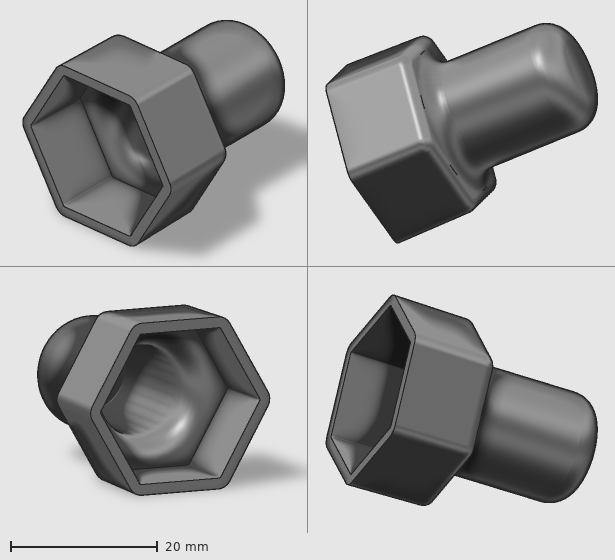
import cadquery as cq
import math


across_flats = 23.85
corner_radius = 2.0
socket_length = 12.5
back_edge_radius = 1.47
wall = 1.5
pocket_depth = 10.0
pocket_corner_radius = 0.4

total_length = 32.0
tube_radius = 7.8
outer_flare_radius = 2.5
tip_radius = 3.5
bore_mouth_radius = tube_radius - wall
inner_flare_radius = 3.5
bore_end_radius = 0.2

draft = 1.0


def hex_prism(flats, length, edge_radius):
    """Drafted hexagonal prism along +Z, with rounded long edges and corners on the X axis."""
    across_corners = flats / math.cos(math.radians(30))
    prism = cq.Workplane("XY").polygon(6, across_corners).extrude(length, taper=draft)
    return prism.edges("not #Z").fillet(edge_radius)


def make_socket():
    """Outer hexagon with its back edge rounded."""
    prism = hex_prism(across_flats, socket_length, corner_radius)
    return prism.faces(">Z").edges().fillet(back_edge_radius)


def make_tube():
    """Tube with a domed-edge tip and a concave flare onto the back of the socket."""
    flare_top = socket_length + outer_flare_radius
    flare_outer = tube_radius + outer_flare_radius
    blend = math.cos(math.pi / 4)
    flare_mid = (
        flare_outer - outer_flare_radius * blend,
        flare_top - outer_flare_radius * blend,
    )
    tip_mid = (
        tube_radius - tip_radius * (1 - blend),
        total_length - tip_radius * (1 - blend),
    )
    return (
        cq.Workplane("XZ")
        .moveTo(0, pocket_depth)
        .lineTo(tube_radius, pocket_depth)
        .lineTo(flare_outer, socket_length)
        .threePointArc(flare_mid, (tube_radius, flare_top))
        .lineTo(tube_radius, total_length - tip_radius)
        .threePointArc(tip_mid, (tube_radius - tip_radius, total_length))
        .lineTo(0, total_length)
        .close()
        .revolve(360, (0, 0, 0), (0, 1, 0))
    )


def make_bore():
    """Drafted blind bore, flared where it opens into the pocket floor."""
    slope = math.radians(draft)
    bore_end = total_length - wall
    flare_end = pocket_depth + inner_flare_radius

    arc_centre_x = bore_mouth_radius + inner_flare_radius * math.cos(slope)

    def flare_point(angle):
        return (
            arc_centre_x - inner_flare_radius * math.cos(angle),
            flare_end - inner_flare_radius * math.sin(angle),
        )

    taper_start = flare_point(slope)
    bore_tip_radius = bore_mouth_radius - (bore_end - taper_start[1]) * math.tan(slope)
    bore = (
        cq.Workplane("XZ")
        .moveTo(0, pocket_depth)
        .lineTo(arc_centre_x, pocket_depth)
        .threePointArc(flare_point(math.pi / 4), taper_start)
        .lineTo(bore_tip_radius, bore_end)
        .lineTo(0, bore_end)
        .close()
        .revolve(360, (0, 0, 0), (0, 1, 0))
    )
    return bore.faces(">Z").edges().fillet(bore_end_radius)


pocket = hex_prism(across_flats - 2 * wall, pocket_depth, pocket_corner_radius)
body = make_socket().union(make_tube()).cut(pocket).cut(make_bore())

result = body.rotate((0, 0, 0), (1, 0, 0), -90)